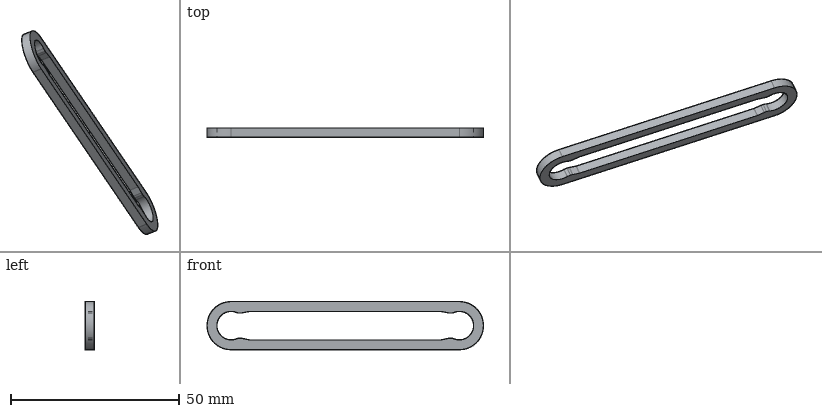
import math

import cadquery as cq

length = 82.3
height = 14.4
thickness = 2.8

outer_radius = height / 2
end_center_x = length / 2 - outer_radius

wall = 3.0
slot_radius = outer_radius - wall
straight_half_length = 28.45
pocket_side_radius = 2.7
ramp_side_radius = 3.7
crest_offset = 2.585

crest_x = end_center_x - crest_offset
center_distance = slot_radius + pocket_side_radius
pocket_side_center_z = math.sqrt(center_distance**2 - crest_offset**2)
crest_z = pocket_side_center_z - pocket_side_radius
pocket_start_x = end_center_x - crest_offset * slot_radius / center_distance
pocket_start_z = pocket_side_center_z * slot_radius / center_distance

ramp_run = crest_x - straight_half_length
ramp_rise = crest_z + ramp_side_radius - slot_radius
ramp_angle = math.asin(ramp_side_radius / math.hypot(ramp_run, ramp_rise)) - math.atan2(ramp_rise, ramp_run)
ramp_end_x = crest_x - ramp_side_radius * math.sin(ramp_angle)
ramp_end_z = crest_z + ramp_side_radius * (1 - math.cos(ramp_angle))

pocket_angle = math.asin(crest_offset / center_distance)
pocket_mid_x = crest_x + pocket_side_radius * math.sin(pocket_angle / 2)
pocket_mid_z = pocket_side_center_z - pocket_side_radius * math.cos(pocket_angle / 2)
ramp_mid_x = crest_x - ramp_side_radius * math.sin(ramp_angle / 2)
ramp_mid_z = crest_z + ramp_side_radius * (1 - math.cos(ramp_angle / 2))


def make_outer_body():
    """Flat bar with fully rounded ends, centred on the origin."""
    return (
        cq.Workplane("XZ")
        .slot2D(length, height)
        .extrude(thickness / 2, both=True)
    )


def add_slot_end(profile, side):
    """Continue the slot outline around one end; side is +1 for +X and -1 for -X.

    The outline enters at z = side * slot_radius and leaves on the opposite edge.
    """

    def point(x, z):
        return side * x, side * z

    return (
        profile
        .lineTo(*point(ramp_end_x, ramp_end_z))
        .threePointArc(point(ramp_mid_x, ramp_mid_z), point(crest_x, crest_z))
        .threePointArc(point(pocket_mid_x, pocket_mid_z), point(pocket_start_x, pocket_start_z))
        .threePointArc(point(end_center_x + slot_radius, 0), point(pocket_start_x, -pocket_start_z))
        .threePointArc(point(pocket_mid_x, -pocket_mid_z), point(crest_x, -crest_z))
        .threePointArc(point(ramp_mid_x, -ramp_mid_z), point(ramp_end_x, -ramp_end_z))
        .lineTo(*point(straight_half_length, -slot_radius))
    )


def make_slot():
    """Through cutter with a pinched round pocket at both ends."""
    profile = cq.Workplane("XZ").moveTo(-straight_half_length, slot_radius)
    profile = profile.lineTo(straight_half_length, slot_radius)
    profile = add_slot_end(profile, 1)
    profile = profile.lineTo(-straight_half_length, -slot_radius)
    profile = add_slot_end(profile, -1)
    return profile.close().extrude(thickness / 2, both=True)


result = make_outer_body().cut(make_slot())